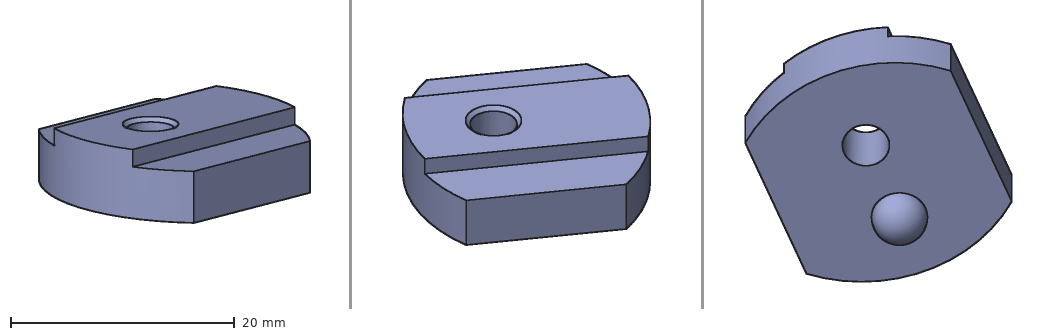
import cadquery as cq

width = 19.8
length = 22.0
end_radius = 15.0
base_height = 4.8

rail_width = 10.0
rail_height = 1.6
top = base_height + rail_height

hole_y = -3.0
hole_diameter = 4.2
countersink_diameter = 5.0
countersink_angle = 90

ball_y = 5.0
ball_radius = 2.5

half_width = width / 2
half_length = length / 2
end_sagitta = end_radius - (end_radius**2 - half_width**2) ** 0.5
corner_y = half_length - end_sagitta


def make_plate():
    """Full-height plate with arched ends."""
    return (
        cq.Workplane("XY")
        .moveTo(-half_width, -corner_y)
        .threePointArc((0, -half_length), (half_width, -corner_y))
        .lineTo(half_width, corner_y)
        .threePointArc((0, half_length), (-half_width, corner_y))
        .close()
        .extrude(top)
    )


def make_shoulder_cuts():
    """Material removed on each side of the rail."""
    shoulder_width = (width - rail_width) / 2
    shoulder_x = (width + rail_width) / 4
    return (
        cq.Workplane("XY", origin=(0, 0, base_height))
        .pushPoints([(-shoulder_x, 0), (shoulder_x, 0)])
        .rect(shoulder_width, length)
        .extrude(rail_height)
    )


def drill_hole(body):
    """Through hole with a conical countersink at the top."""
    return (
        body.copyWorkplane(cq.Workplane("XY", origin=(0, hole_y, top)))
        .cskHole(hole_diameter, countersink_diameter, countersink_angle)
    )


def make_ball():
    """Ball centred on the underside."""
    return cq.Workplane("XY", origin=(0, ball_y, 0)).sphere(ball_radius)


plate = make_plate().cut(make_shoulder_cuts())
result = drill_hole(plate.union(make_ball()))